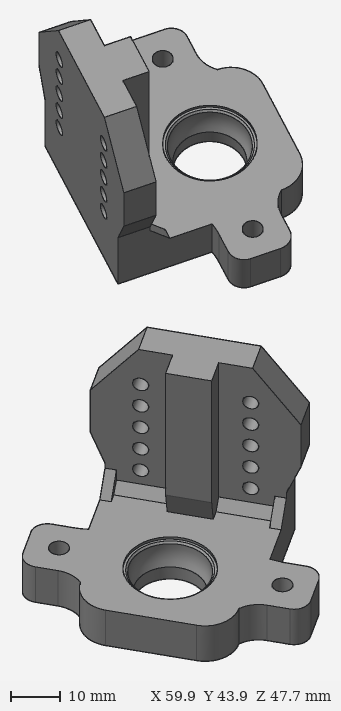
import cadquery as cq
import math

ear_span = 59.9
base_height = 9.5
body_half_width = 16.5
body_back = 43.85
body_corner_radius = 7.0
ear_front = 20.9
ear_back = 34.45
ear_corner_radius = 3.5
ear_neck_x = 21.75
back_blend_radius = 7.0
front_blend_radius = 14.0
ear_hole_diameter = 4.2
ear_hole_x = 23.25

seat_y = 28.15
rim_radius = 9.5
rim_depth = 0.6
chamfer_top_radius = 9.0
ball_mouth_radius = 8.55
throat_radius = 7.5
throat_height = 3.25

total_height = 47.7
plate_thickness = 7.1
plate_top_half_width = 11.85
plate_half_width = 21.95
plate_shoulder_low = 23.35
plate_shoulder_high = 34.65
plate_waist_height = 15.7

rail_width = 9.6
rail_back = 12.8
rail_foot_back = 11.55
rail_taper_height = 15.05

rib_thickness = 2.4
rib_half_span = body_half_width + rib_thickness
rib_length = 22.5
gusset_foot_y = 11.4
gusset_height = 14.4
wedge_size = 2.15

plate_hole_diameter = 3.3
plate_hole_x = 11.45
plate_hole_pitch = 5.75
plate_hole_rows = 5
lowest_hole_height = 15.4


def blend_point(x, edge_y, blend_radius, direction):
    """Point at x on the arc that leaves a straight ear edge tangentially."""
    run = ear_neck_x - x
    offset = blend_radius - math.sqrt(blend_radius**2 - run**2)
    return (x, edge_y + direction * offset)


def mirrored(shape):
    """Union of a shape with its mirror image across the YZ plane."""
    return shape.union(shape.mirror("YZ"))


def side_profile(points, width, center_x=0.0):
    """Prism along X from a (Y, Z) outline, centered on center_x."""
    return cq.Workplane("YZ", origin=(center_x, 0, 0)).polyline(points).close().extrude(width / 2, both=True)


def make_ear():
    """Ear on the +X side, with its root reaching into the body and the rib."""
    back_arc_middle = (ear_neck_x + body_half_width) / 2
    front_arc_middle = (ear_neck_x + rib_half_span) / 2
    back_arc_end = blend_point(body_half_width, ear_back, back_blend_radius, 1)
    front_arc_start = blend_point(rib_half_span, ear_front, front_blend_radius, -1)
    return (
        cq.Workplane("XY")
        .moveTo(0, rib_length)
        .lineTo(rib_half_span, rib_length)
        .lineTo(*front_arc_start)
        .threePointArc(
            blend_point(front_arc_middle, ear_front, front_blend_radius, -1),
            (ear_neck_x, ear_front),
        )
        .lineTo(ear_span / 2, ear_front)
        .lineTo(ear_span / 2, ear_back)
        .lineTo(ear_neck_x, ear_back)
        .threePointArc(
            blend_point(back_arc_middle, ear_back, back_blend_radius, 1),
            back_arc_end,
        )
        .lineTo(0, back_arc_end[1])
        .close()
        .extrude(base_height)
        .edges("|Z and >X")
        .fillet(ear_corner_radius)
    )


def make_base():
    body = (
        cq.Workplane("XY")
        .box(2 * body_half_width, body_back, base_height, centered=(True, False, False))
        .edges("|Z and >Y")
        .fillet(body_corner_radius)
    )
    ear_hole_y = (ear_front + ear_back) / 2
    ear_holes = (
        cq.Workplane("XY")
        .pushPoints([(-ear_hole_x, ear_hole_y), (ear_hole_x, ear_hole_y)])
        .circle(ear_hole_diameter / 2)
        .extrude(base_height)
    )
    return body.union(mirrored(make_ear())).cut(ear_holes)


def make_bearing_seat():
    """Revolved cutter: stepped rim, 45 degree chamfer, ball zone and throat."""
    ledge_z = base_height - rim_depth
    mouth_z = ledge_z - (chamfer_top_radius - ball_mouth_radius)
    ball_z = (mouth_z + throat_height) / 2 + (ball_mouth_radius**2 - throat_radius**2) / (
        2 * (mouth_z - throat_height)
    )
    ball_radius = math.hypot(throat_radius, ball_z - throat_height)
    return (
        cq.Workplane("XZ", origin=(0, seat_y, 0))
        .moveTo(0, 0)
        .lineTo(throat_radius, 0)
        .lineTo(throat_radius, throat_height)
        .threePointArc((ball_radius, ball_z), (ball_mouth_radius, mouth_z))
        .lineTo(chamfer_top_radius, ledge_z)
        .lineTo(rim_radius, ledge_z)
        .lineTo(rim_radius, base_height)
        .lineTo(0, base_height)
        .close()
        .revolve(360, (0, 0, 0), (0, 1, 0))
    )


def make_plate():
    right_side = [
        (rib_half_span, 0),
        (rib_half_span, plate_waist_height),
        (plate_half_width, plate_shoulder_low),
        (plate_half_width, plate_shoulder_high),
        (plate_top_half_width, total_height),
    ]
    left_side = [(-x, z) for x, z in reversed(right_side)]
    return cq.Workplane("XZ").polyline(right_side + left_side).close().extrude(-plate_thickness)


def make_rail():
    profile = [
        (0, 0),
        (rail_foot_back, 0),
        (rail_foot_back, base_height),
        (rail_back, rail_taper_height),
        (rail_back, total_height),
        (0, total_height),
    ]
    return side_profile(profile, rail_width)


def make_ribs():
    profile = [
        (0, 0),
        (rib_length, 0),
        (rib_length, base_height),
        (gusset_foot_y, base_height),
        (plate_thickness, gusset_height),
        (0, gusset_height),
    ]
    return mirrored(side_profile(profile, rib_thickness, rib_half_span - rib_thickness / 2))


def make_wedge():
    profile = [
        (plate_thickness, base_height),
        (plate_thickness + wedge_size, base_height),
        (plate_thickness, base_height + wedge_size),
    ]
    return side_profile(profile, 2 * body_half_width)


def make_plate_holes():
    centers = [
        (side * plate_hole_x, lowest_hole_height + row * plate_hole_pitch)
        for side in (-1, 1)
        for row in range(plate_hole_rows)
    ]
    return cq.Workplane("XZ").pushPoints(centers).circle(plate_hole_diameter / 2).extrude(-rail_back)


result = (
    make_base()
    .union(make_plate())
    .union(make_rail())
    .union(make_ribs())
    .union(make_wedge())
    .cut(make_bearing_seat())
    .cut(make_plate_holes())
)